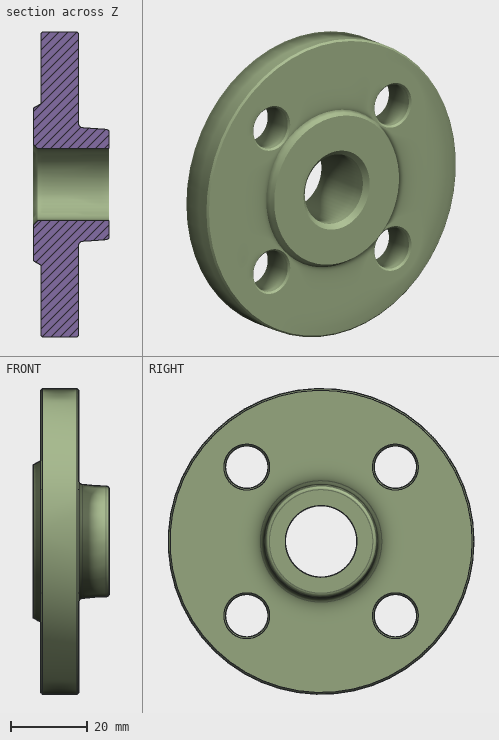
import cadquery as cq

flange_diameter = 80.0
flange_thickness = 10.0
flange_chamfer = 0.5

face_diameter = 40.0
face_base_diameter = 42.2
face_height = 2.0

total_length = 20.0
hub_base_diameter = 30.0
hub_end_diameter = 28.9
hub_root_fillet = 1.0
hub_end_fillet = 1.0

bore_diameter = 18.6
bore_chamfer = 1.3

bolt_count = 4
bolt_circle_diameter = 55.0
bolt_hole_diameter = 11.0
bolt_hole_chamfer = 0.5

face_x = -total_length / 2
flange_front_x = face_x + face_height
flange_back_x = flange_front_x + flange_thickness
hub_end_x = total_length / 2


def cone(start_x, end_x, start_diameter, end_diameter):
    """Solid of revolution about X whose diameter changes linearly."""
    return (
        cq.Workplane("XY")
        .moveTo(start_x, 0)
        .lineTo(start_x, start_diameter / 2)
        .lineTo(end_x, end_diameter / 2)
        .lineTo(end_x, 0)
        .close()
        .revolve(360, (0, 0, 0), (1, 0, 0))
    )


def chamfered_hole(start_x, end_x, diameter, start_chamfer, end_chamfer):
    """Cutter along X, widened at 45 degrees at each end that has a chamfer."""
    cutter = cone(start_x, end_x, diameter, diameter)
    if start_chamfer:
        wide = diameter + 2 * start_chamfer
        cutter = cutter.union(cone(start_x, start_x + start_chamfer, wide, diameter))
    if end_chamfer:
        wide = diameter + 2 * end_chamfer
        cutter = cutter.union(cone(end_x - end_chamfer, end_x, diameter, wide))
    return cutter


disc = cone(flange_front_x, flange_back_x, flange_diameter, flange_diameter)
disc = disc.edges("%CIRCLE").chamfer(flange_chamfer)

hub = cone(flange_back_x, hub_end_x, hub_base_diameter, hub_end_diameter)
hub = hub.faces(">X").edges().fillet(hub_end_fillet)
body = disc.union(hub)
hub_root = cq.selectors.BoxSelector(
    (flange_back_x - flange_chamfer / 2, -hub_base_diameter, -hub_base_diameter),
    (flange_back_x + flange_chamfer / 2, hub_base_diameter, hub_base_diameter),
)
body = body.edges(hub_root).edges(cq.selectors.RadiusNthSelector(0)).fillet(hub_root_fillet)

body = body.union(cone(face_x, flange_front_x, face_diameter, face_base_diameter))

body = body.cut(chamfered_hole(face_x, hub_end_x, bore_diameter, bore_chamfer, 0))

bolt_hole = chamfered_hole(
    flange_front_x, flange_back_x, bolt_hole_diameter, bolt_hole_chamfer, bolt_hole_chamfer
).translate((0, bolt_circle_diameter / 2, 0))
bolt_pitch_angle = 360 / bolt_count
for index in range(bolt_count):
    angle = (index + 0.5) * bolt_pitch_angle
    body = body.cut(bolt_hole.rotate((0, 0, 0), (1, 0, 0), angle))

result = body